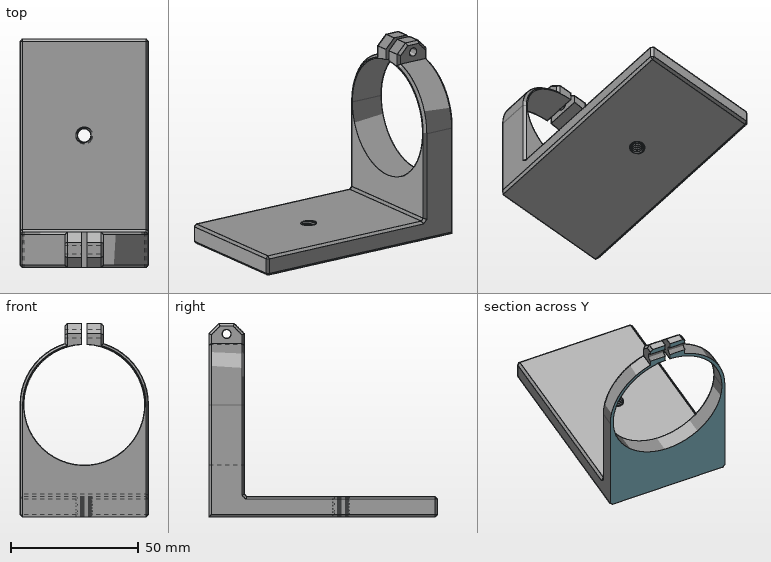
import cadquery as cq
import math

width = 50.5
length = 90.0
overall_height = 76.11
bevel = 1.0
plate_thickness = 8.0
upright_thickness = 14.0

ring_wall = 1.5
ring_outer_radius = width / 2
bore_radius = ring_outer_radius - ring_wall

lug_width = 15.2
lug_height_above_axis = 32.0
lug_corner_cut = 4.0
split_gap = 2.0
clamp_hole_diameter = 3.4
clamp_hole_below_top = 4.1
ring_axis_z = overall_height - lug_height_above_axis

thread_major_diameter = 6.6
thread_minor_diameter = 5.2
thread_pitch = 1.27
thread_root_flat = thread_pitch / 8
thread_flank_angle = math.radians(30)
mount_hole_y = (upright_thickness + length) / 2


def make_bracket_body():
    """L-shaped bracket with a round-topped upright; all outer edges but the front foot are bevelled."""
    body = (
        cq.Workplane("YZ")
        .moveTo(0, 0)
        .lineTo(length, 0)
        .lineTo(length, plate_thickness)
        .lineTo(upright_thickness + bevel, plate_thickness)
        .lineTo(upright_thickness, plate_thickness + bevel)
        .lineTo(upright_thickness, ring_axis_z)
        .lineTo(0, ring_axis_z)
        .close()
        .extrude(width / 2, both=True)
    )
    round_top = (
        cq.Workplane("XZ", origin=(0, 0, ring_axis_z))
        .circle(ring_outer_radius)
        .extrude(-upright_thickness)
    )
    body = body.union(round_top, clean=True)

    def is_bevelled_edge(edge):
        centre = edge.Center()
        on_inside_corner = (
            abs(centre.x) < bevel
            and 0 < centre.y < length
            and plate_thickness - bevel < centre.z < plate_thickness + 2 * bevel
        )
        on_tangent_seam = (
            abs(centre.z - ring_axis_z) < bevel
            and abs(centre.y - upright_thickness / 2) < bevel
        )
        on_front_foot = centre.y < bevel and centre.z < bevel
        return not (on_inside_corner or on_tangent_seam or on_front_foot)

    bevelled_edges = [edge for edge in body.edges().vals() if is_bevelled_edge(edge)]
    return body.newObject(bevelled_edges).chamfer(bevel)


def make_lug():
    """Clamp lug with cut top corners and bevelled end faces, reaching down to the ring axis."""
    return (
        cq.Workplane("XY", origin=(0, upright_thickness / 2, ring_axis_z))
        .box(lug_width, upright_thickness, lug_height_above_axis, centered=(True, True, False))
        .edges("|X and >Z")
        .chamfer(lug_corner_cut)
        .faces("<X or >X")
        .edges("not <Z")
        .chamfer(bevel)
    )


def make_bore():
    return (
        cq.Workplane("XZ", origin=(0, 0, ring_axis_z))
        .circle(bore_radius)
        .extrude(-upright_thickness)
    )


def make_split():
    return (
        cq.Workplane("XY", origin=(0, upright_thickness / 2, ring_axis_z))
        .box(split_gap, upright_thickness, lug_height_above_axis, centered=(True, True, False))
    )


def make_clamp_hole():
    return (
        cq.Workplane("YZ", origin=(0, upright_thickness / 2, overall_height - clamp_hole_below_top))
        .circle(clamp_hole_diameter / 2)
        .extrude(lug_width, both=True)
    )


def make_pilot_hole():
    return (
        cq.Workplane("XY", origin=(0, mount_hole_y, 0))
        .circle(thread_minor_diameter / 2)
        .extrude(plate_thickness)
    )


def make_thread_groove():
    """Right-hand helical V groove that runs out beyond both faces of the plate."""
    minor_radius = thread_minor_diameter / 2
    major_radius = thread_major_diameter / 2
    root_half = thread_root_flat / 2
    mouth_half = root_half + (major_radius - minor_radius) * math.tan(thread_flank_angle)

    turns_in_plate = math.ceil(plate_thickness / thread_pitch)
    turns_below_top = turns_in_plate + 1.5
    total_turns = turns_in_plate + 3
    start_z = plate_thickness - turns_below_top * thread_pitch

    def helix(radius, offset):
        wire = cq.Wire.makeHelix(thread_pitch, total_turns * thread_pitch, radius)
        return wire.translate(cq.Vector(0, mount_hole_y, start_z + offset)).Edges()[0]

    corners = [
        helix(minor_radius, -mouth_half),
        helix(major_radius, -root_half),
        helix(major_radius, root_half),
        helix(minor_radius, mouth_half),
    ]
    faces = []
    for index, corner in enumerate(corners):
        next_corner = corners[(index + 1) % len(corners)]
        faces.append(cq.Face.makeRuledSurface(corner, next_corner))
    for end in (0, 1):
        profile = [corner.positionAt(end) for corner in corners]
        faces.append(cq.Face.makeFromWires(cq.Wire.makePolygon(profile, close=True)))
    return cq.Workplane(obj=cq.Solid.makeSolid(cq.Shell.makeShell(faces)))


result = (
    make_bracket_body()
    .union(make_lug())
    .cut(make_bore())
    .cut(make_split())
    .cut(make_clamp_hole())
    .cut(make_thread_groove())
    .cut(make_pilot_hole())
)